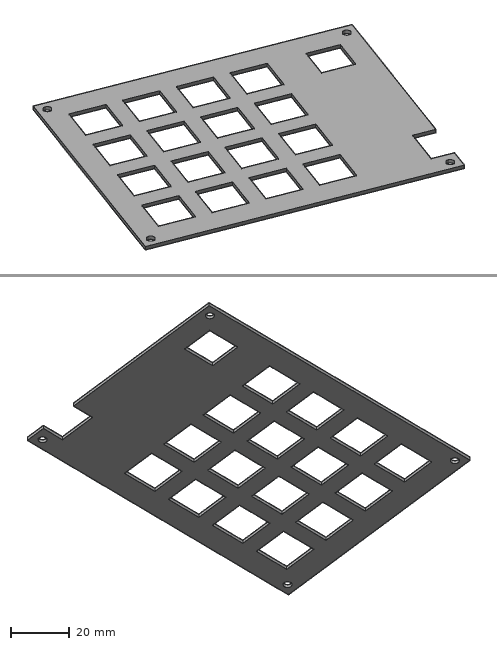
import cadquery as cq

plate_width = 94.0
plate_length = 120.6
plate_thickness = 1.5

key_count = 4
key_size = 14.0
key_grid_span = 74.9
key_grid_left = (plate_width - key_grid_span) / 2
key_grid_bottom = 9.3
key_pitch = (key_grid_span - key_size) / (key_count - 1)

notch_width = 15.6
notch_depth = 8.8
notch_right_margin = 8.3
notch_left = plate_width - notch_right_margin - notch_width

opening_size = 12.9
opening_bottom = plate_length - notch_depth - opening_size

hole_diameter = 3.0
hole_inset = 3.7


def through_cutter(left, bottom, width, length):
    """Block through the plate thickness, placed by its lower left corner."""
    block = cq.Workplane("XY").box(width, length, plate_thickness, centered=False)
    return block.translate((left, bottom, 0))


plate = cq.Workplane("XY").box(plate_width, plate_length, plate_thickness, centered=False)

for column in range(key_count):
    for row in range(key_count):
        key_left = key_grid_left + column * key_pitch
        key_bottom = key_grid_bottom + row * key_pitch
        plate = plate.cut(through_cutter(key_left, key_bottom, key_size, key_size))

plate = plate.cut(through_cutter(key_grid_left, opening_bottom, opening_size, opening_size))
plate = plate.cut(through_cutter(notch_left, plate_length - notch_depth, notch_width, notch_depth))

hole_centers = [
    (x, y)
    for x in (hole_inset, plate_width - hole_inset)
    for y in (hole_inset, plate_length - hole_inset)
]
holes = (
    cq.Workplane("XY")
    .pushPoints(hole_centers)
    .circle(hole_diameter / 2)
    .extrude(plate_thickness)
)
result = plate.cut(holes)